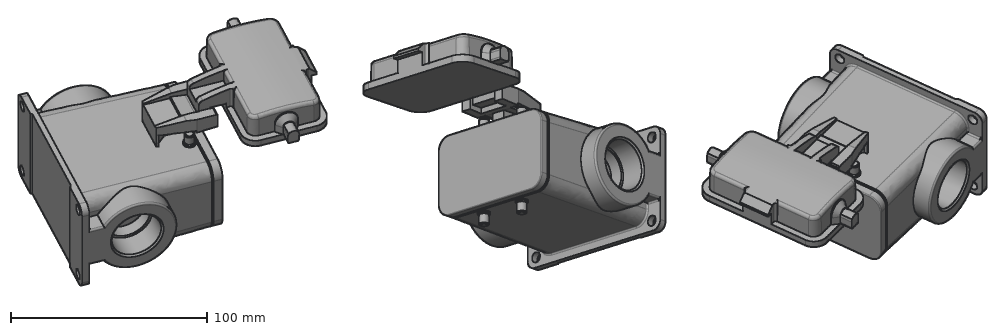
import cadquery as cq
import math


overall_height = 78.14
selection_margin = 0.1
buried_z = 20.0

plate_width, plate_height, plate_thickness = 94.0, 56.0, 4.0
plate_corner_radius = 4.8
screw_x, screw_z, screw_dia = 41.0, 22.5, 5.5
recess_half_width, recess_depth = 29.2, 0.9

body_base_width, body_base_height = 75.2, 46.0
body_tip_width, body_tip_height = 73.0, 43.2
body_corner_radius = 7.5
body_root_fillet = 0.9
rim_start, rim_end = 75.0, 80.5
rim_edge_fillet = 0.5
groove_width, groove_depth = 0.9, 0.4

entry_y, entry_radius = 30.0, 21.7
entry_inner_x = 28.0
entry_edge_fillet = 1.0
web_half_height = 12.0
bore_radius, bore_chamfer = 13.4, 1.0
bore_step_radius, bore_step_x, bore_floor_x = 12.0, 33.0, 26.0

peg_x, peg_y, peg_dia = 13.4, 70.8, 5.3
peg_reach, peg_tip_chamfer = 28.5, 0.6
peg_collar_dia, peg_collar_z = 6.6, 22.4

bracket_back_y, bracket_bend_y, bracket_front_y = 85.9, 74.4, 53.9
bracket_back_half_width, bracket_front_half_width = 14.3, 10.5
bracket_top_z, bracket_slope_y, bracket_front_z = 37.7, 69.2, 35.3
bracket_back_bottom_z, bracket_bend_bottom_z, bracket_side_bottom_z = 29.3, 28.6, 29.8
bracket_wall = 1.2
bracket_back_chamfer = 0.7
slot_floor_z, slot_ridge_z = 34.4, 35.3
slot_step_y, slot_ridge_y = 68.3, 68.7
slot_back_y, slot_back_z, slot_bottom_z = 76.5, 34.0, 27.0
pedestal_back_y, pedestal_front_y, pedestal_half_width = 74.2, 60.6, 4.0
pedestal_flare_half_width = 9.0
pad_front_y, pad_half_width = 65.6, 9.0

lid_y = 115.85
flange_width, flange_depth, flange_radius = 75.2, 46.4, 8.0
flange_bottom_z, flange_top_z = 31.6, 35.5
flange_front_y = lid_y - flange_depth / 2
flange_back_y = lid_y + flange_depth / 2
cap_width, cap_depth, cap_radius = 68.2, 39.8, 5.0
cap_taper = 1.5
cap_edge_fillet = 2.0
crown_z, crown_radius = overall_height - peg_reach, 125.0
junction_fillet = 1.5

tongue_half_width, tongue_front_y = 8.7, 77.7
tongue_bottom_z, tongue_root_z = 38.1, 32.0
tongue_root_back_y = 84.0
tongue_nose_radius = 2.8
pocket_half_width, pocket_floor_z = 5.0, 40.9
hook_tip_y, hook_tip_z = 141.82, 43.9
hook_crest_y, hook_under_z = 137.9, 42.6

pin_end_x, pin_z = 44.6, 40.4
pin_cone_radius, pin_cone_tip_radius, pin_cone_end_x = 6.3, 3.1, 37.6
pin_bottom_z = 35.3
pin_half_width, pin_bevel = 3.1, 0.4
pin_bottom_bevel_z, pin_shoulder_z, pin_crown_z = 36.6, 41.8, 43.0


def y_slab(width, height, radius, y_start, y_end):
    """Rounded rectangular slab in XZ running along Y."""
    slab = cq.Workplane("XZ", origin=(0, y_start, 0)).rect(width, height).extrude(y_start - y_end)
    return slab.edges("|Y").fillet(radius)


def crown_height(y):
    """Height of the arched lid top at a given Y."""
    return crown_z - crown_radius + math.sqrt(crown_radius**2 - (y - lid_y) ** 2)


def x_prism(profile, half_width):
    """Extrude a YZ profile symmetrically about X = 0."""
    return profile.extrude(half_width, both=True)


def make_plate():
    plate = y_slab(plate_width, plate_height, plate_corner_radius, 0, plate_thickness)
    recess = (
        cq.Workplane("XY", origin=(0, 0, -plate_height))
        .moveTo(-recess_half_width, 0)
        .lineTo(recess_half_width, 0)
        .lineTo(recess_half_width - recess_depth, recess_depth)
        .lineTo(recess_depth - recess_half_width, recess_depth)
        .close()
        .extrude(2 * plate_height)
    )
    return plate.cut(recess)


def make_screw_holes():
    return (
        cq.Workplane("XZ")
        .rect(2 * screw_x, 2 * screw_z, forConstruction=True)
        .vertices()
        .circle(screw_dia / 2)
        .extrude(-plate_thickness)
    )


def make_body():
    base = cq.Sketch().rect(body_base_width, body_base_height).vertices().fillet(body_corner_radius)
    tip = cq.Sketch().rect(body_tip_width, body_tip_height).vertices().fillet(body_corner_radius)
    length = rim_start - plate_thickness
    body = (
        cq.Workplane("XZ", origin=(0, plate_thickness, 0))
        .placeSketch(base, tip.moved(cq.Location(cq.Vector(0, 0, -length))))
        .loft()
    )
    rim = y_slab(body_tip_width, body_tip_height, body_corner_radius, rim_start, rim_end)
    rim = rim.faces(">Y").edges().fillet(rim_edge_fillet)
    return body.union(rim)


def make_rim_groove():
    start = rim_start - groove_width / 2
    end = rim_start + groove_width / 2
    outer = y_slab(plate_width, plate_height, body_corner_radius, start, end)
    inner = y_slab(
        body_tip_width - 2 * groove_depth,
        body_tip_height - 2 * groove_depth,
        body_corner_radius - groove_depth,
        start,
        end,
    )
    return outer.cut(inner)


def root_fillet(housing):
    """Round the corner where the body grows out of the plate."""
    reach_x = body_base_width / 2 + selection_margin
    reach_z = body_base_height / 2 + selection_margin
    near_root = cq.selectors.BoxSelector(
        (-reach_x, plate_thickness - selection_margin, -reach_z),
        (reach_x, plate_thickness + selection_margin, reach_z),
    )
    return housing.edges(near_root).fillet(body_root_fillet)


def make_web_root():
    """Flared foot of the entry web, ending where the rounding of the entry's outer edge begins."""
    radius = body_root_fillet
    foot_z = web_half_height + radius
    top_y = plate_thickness + radius
    bend = radius * (1 - math.sqrt(0.5))
    return (
        cq.Workplane("YZ", origin=(entry_inner_x, 0, 0))
        .moveTo(plate_thickness, -foot_z)
        .threePointArc((plate_thickness + bend, -web_half_height - bend), (top_y, -web_half_height))
        .lineTo(top_y, web_half_height)
        .threePointArc((plate_thickness + bend, web_half_height + bend), (plate_thickness, foot_z))
        .close()
        .extrude(plate_width / 2 - entry_edge_fillet - entry_inner_x)
    )


def make_entry():
    """Cable entry boss on the +X side with the web that ties it to the plate."""
    length = plate_width / 2 - entry_inner_x
    boss = cq.Workplane("YZ", origin=(entry_inner_x, 0, 0)).center(entry_y, 0).circle(entry_radius)
    boss = boss.extrude(length)
    web_start = plate_thickness / 2
    web = cq.Workplane("YZ", origin=(entry_inner_x, 0, 0)).center((web_start + entry_y) / 2, 0)
    web = web.rect(entry_y - web_start, 2 * web_half_height).extrude(length)
    entry = boss.union(web).faces(">X").edges().fillet(entry_edge_fillet)
    return entry.union(make_web_root())


def make_entry_bore():
    outer_x = plate_width / 2
    return (
        cq.Workplane("XY")
        .moveTo(bore_floor_x, entry_y)
        .lineTo(bore_floor_x, entry_y + bore_step_radius)
        .lineTo(bore_step_x, entry_y + bore_step_radius)
        .lineTo(bore_step_x, entry_y + bore_radius)
        .lineTo(outer_x - bore_chamfer, entry_y + bore_radius)
        .lineTo(outer_x, entry_y + bore_radius + bore_chamfer)
        .lineTo(outer_x, entry_y)
        .close()
        .revolve(360, (0, entry_y, 0), (1, entry_y, 0))
    )


def make_peg():
    """Locking peg pointing up, standing on a short conical collar on the body wall."""
    collar_rise = (peg_collar_dia - peg_dia) / 2
    return (
        cq.Workplane("XZ")
        .moveTo(0, buried_z)
        .lineTo(peg_collar_dia / 2, buried_z)
        .lineTo(peg_collar_dia / 2, peg_collar_z)
        .lineTo(peg_dia / 2, peg_collar_z + collar_rise)
        .lineTo(peg_dia / 2, peg_reach - peg_tip_chamfer)
        .lineTo(peg_dia / 2 - peg_tip_chamfer, peg_reach)
        .lineTo(0, peg_reach)
        .close()
        .revolve(360, (0, 0, 0), (0, 1, 0))
        .translate((peg_x, peg_y, 0))
    )


def make_bracket():
    side = (
        cq.Workplane("YZ")
        .moveTo(bracket_back_y, bracket_back_bottom_z)
        .lineTo(bracket_back_y, bracket_top_z - bracket_back_chamfer)
        .lineTo(bracket_back_y - bracket_back_chamfer, bracket_top_z)
        .lineTo(bracket_slope_y, bracket_top_z)
        .lineTo(bracket_front_y, bracket_front_z)
        .lineTo(bracket_front_y, buried_z)
        .lineTo(bracket_front_y + bracket_wall, buried_z)
        .lineTo(bracket_front_y + bracket_wall, bracket_side_bottom_z)
        .lineTo(bracket_bend_y, bracket_side_bottom_z)
        .lineTo(bracket_bend_y, bracket_bend_bottom_z)
        .close()
    )
    plan = (
        cq.Workplane("XY")
        .moveTo(-bracket_back_half_width, bracket_back_y)
        .lineTo(bracket_back_half_width, bracket_back_y)
        .lineTo(bracket_back_half_width, bracket_bend_y)
        .lineTo(bracket_front_half_width, bracket_front_y)
        .lineTo(-bracket_front_half_width, bracket_front_y)
        .lineTo(-bracket_back_half_width, bracket_bend_y)
        .close()
        .extrude(crown_z)
    )
    slot = (
        cq.Workplane("YZ")
        .moveTo(bracket_front_y, slot_floor_z)
        .lineTo(slot_step_y, slot_floor_z)
        .lineTo(slot_ridge_y, slot_ridge_z)
        .lineTo(slot_back_y, slot_back_z)
        .lineTo(tongue_front_y, slot_back_z)
        .lineTo(tongue_front_y, slot_bottom_z)
        .lineTo(bracket_back_y, slot_bottom_z)
        .lineTo(bracket_back_y, crown_z)
        .lineTo(bracket_front_y, crown_z)
        .close()
    )
    pedestal = (
        cq.Workplane("XY", origin=(0, 0, buried_z))
        .moveTo(-pedestal_half_width, pedestal_back_y)
        .lineTo(pedestal_half_width, pedestal_back_y)
        .lineTo(pedestal_half_width, pedestal_front_y)
        .lineTo(pedestal_flare_half_width, bracket_front_y + bracket_wall)
        .lineTo(-pedestal_flare_half_width, bracket_front_y + bracket_wall)
        .lineTo(-pedestal_half_width, pedestal_front_y)
        .close()
        .extrude(bracket_side_bottom_z - buried_z)
    )
    pad = (
        cq.Workplane("XY", origin=(0, 0, bracket_bend_bottom_z))
        .center(0, (pad_front_y + bracket_bend_y) / 2)
        .rect(2 * pad_half_width, bracket_bend_y - pad_front_y)
        .extrude(bracket_side_bottom_z - bracket_bend_bottom_z)
    )
    bracket = x_prism(side, bracket_back_half_width).intersect(plan)
    return bracket.cut(x_prism(slot, tongue_half_width)).union(pedestal).union(pad)


def make_arch():
    """Solid under the arched lid top, as deep as the flange."""
    edge_z = crown_height(flange_back_y)
    profile = (
        cq.Workplane("YZ")
        .moveTo(flange_front_y, flange_bottom_z)
        .lineTo(flange_front_y, edge_z)
        .threePointArc((lid_y, crown_z), (flange_back_y, edge_z))
        .lineTo(flange_back_y, flange_bottom_z)
        .close()
    )
    return x_prism(profile, flange_width)


def make_cap():
    """Lid cap: tapered walls under an arched top with a rounded rim."""
    cap = (
        cq.Workplane("XY", origin=(0, lid_y, flange_bottom_z))
        .sketch()
        .rect(cap_width, cap_depth)
        .vertices()
        .fillet(cap_radius)
        .finalize()
        .extrude(crown_z - flange_bottom_z, taper=cap_taper)
    )
    cap = cap.intersect(make_arch())
    return cap.faces(">Z").edges().fillet(cap_edge_fillet)


def make_flange():
    flange = cq.Workplane("XY", origin=(0, lid_y, flange_bottom_z)).rect(flange_width, flange_depth)
    flange = flange.extrude(flange_top_z - flange_bottom_z)
    return flange.edges("|Z").fillet(flange_radius)


def make_tongue():
    """Hinge tongue: its top carries on the lid's arch and its root sits between the bracket cheeks."""
    nose_z = crown_height(tongue_front_y)
    middle_y = (lid_y + tongue_front_y) / 2
    profile = (
        cq.Workplane("YZ")
        .moveTo(lid_y, flange_top_z)
        .lineTo(lid_y, crown_z)
        .threePointArc((middle_y, crown_height(middle_y)), (tongue_front_y, nose_z))
        .lineTo(tongue_front_y, tongue_root_z)
        .lineTo(tongue_root_back_y, tongue_root_z)
        .lineTo(tongue_root_back_y, tongue_bottom_z)
        .lineTo(flange_front_y, tongue_bottom_z)
        .lineTo(flange_front_y, flange_top_z)
        .close()
    )
    tongue = x_prism(profile, tongue_half_width)
    tongue = tongue.edges(cq.selectors.NearestToPointSelector((0, tongue_front_y, nose_z)))
    tongue = tongue.fillet(tongue_nose_radius)
    pocket = cq.Workplane("XY", origin=(0, tongue_front_y, pocket_floor_z))
    pocket = pocket.rect(2 * pocket_half_width, 2 * (lid_y - tongue_front_y)).extrude(crown_z)
    return tongue.cut(pocket)


def make_hook():
    crest_z = crown_height(hook_crest_y)
    middle_y = (lid_y + hook_crest_y) / 2
    profile = (
        cq.Workplane("YZ")
        .moveTo(lid_y, flange_top_z)
        .lineTo(lid_y, crown_z)
        .threePointArc((middle_y, crown_height(middle_y)), (hook_crest_y, crest_z))
        .lineTo(hook_tip_y, hook_tip_z)
        .lineTo(hook_tip_y, hook_under_z)
        .lineTo(flange_back_y, hook_under_z)
        .lineTo(flange_back_y, flange_top_z)
        .close()
    )
    return x_prism(profile, tongue_half_width)


def make_junction_fillets():
    """Concave rounds in the upright corners where the tongue and hook leave the cap walls."""
    height = crown_z - flange_top_z
    wall_inset = height * math.tan(math.radians(cap_taper))
    fillets = cq.Workplane("XY")
    for x_sign in (-1, 1):
        for y_sign in (-1, 1):
            side_x = x_sign * tongue_half_width
            wall_y = lid_y + y_sign * cap_depth / 2
            inner_y = wall_y - y_sign * (wall_inset + cap_edge_fillet)
            far_x = side_x + x_sign * junction_fillet
            far_y = wall_y + y_sign * junction_fillet
            bend = junction_fillet * (1 - math.sqrt(0.5))
            fillet = (
                cq.Workplane("XY", origin=(0, 0, flange_top_z))
                .moveTo(side_x, inner_y)
                .lineTo(side_x, far_y)
                .threePointArc((side_x + x_sign * bend, wall_y + y_sign * bend), (far_x, wall_y))
                .lineTo(far_x, wall_y - y_sign * wall_inset)
                .close()
                .extrude(height)
            )
            fillets = fillets.union(fillet)
    return fillets.intersect(make_arch())


def arch_profile(x, radius):
    """Arch outline in a YZ plane: a half round on straight legs down to the flange."""
    return (
        cq.Workplane("YZ", origin=(x, lid_y, 0))
        .moveTo(-radius, pin_bottom_z)
        .lineTo(-radius, pin_z)
        .threePointArc((0, pin_z + radius), (radius, pin_z))
        .lineTo(radius, pin_bottom_z)
        .close()
    )


def make_pin():
    """Side pin on the +X side with its flared root."""
    edge_y = pin_half_width - pin_bevel
    pin = (
        cq.Workplane("YZ", origin=(0, lid_y, 0))
        .moveTo(-edge_y, pin_bottom_z)
        .lineTo(-pin_half_width, pin_bottom_bevel_z)
        .lineTo(-pin_half_width, pin_z)
        .lineTo(-edge_y, pin_shoulder_z)
        .threePointArc((0, pin_crown_z), (edge_y, pin_shoulder_z))
        .lineTo(pin_half_width, pin_z)
        .lineTo(pin_half_width, pin_bottom_bevel_z)
        .lineTo(edge_y, pin_bottom_z)
        .close()
        .extrude(pin_end_x)
    )
    root_x = pin_cone_end_x - (pin_cone_radius - pin_cone_tip_radius)
    cone_wire = arch_profile(root_x, pin_cone_radius).wires().val()
    tip_wire = arch_profile(pin_cone_end_x, pin_cone_tip_radius).wires().val()
    cone = cq.Workplane(cq.Solid.makeLoft([cone_wire, tip_wire], True))
    shank = arch_profile(0, pin_cone_radius).extrude(root_x)
    return pin.union(cone).union(shank)


def make_lid():
    lid = make_cap().union(make_tongue()).union(make_hook()).union(make_flange())
    lid = lid.union(make_junction_fillets())
    pin = make_pin()
    return lid.union(pin).union(pin.mirror("YZ"))


housing = root_fillet(make_plate().union(make_body()))
housing = housing.cut(make_rim_groove())
entry = make_entry()
housing = housing.union(entry).union(entry.mirror("YZ"))
bore = make_entry_bore()
housing = housing.cut(bore).cut(bore.mirror("YZ"))
housing = housing.cut(make_screw_holes())

upper_peg = make_peg()
lower_peg = upper_peg.mirror("XY")
for peg in (upper_peg, lower_peg):
    housing = housing.union(peg).union(peg.mirror("YZ"))

result = cq.Workplane(housing.union(make_bracket()).union(make_lid()).solids().val())